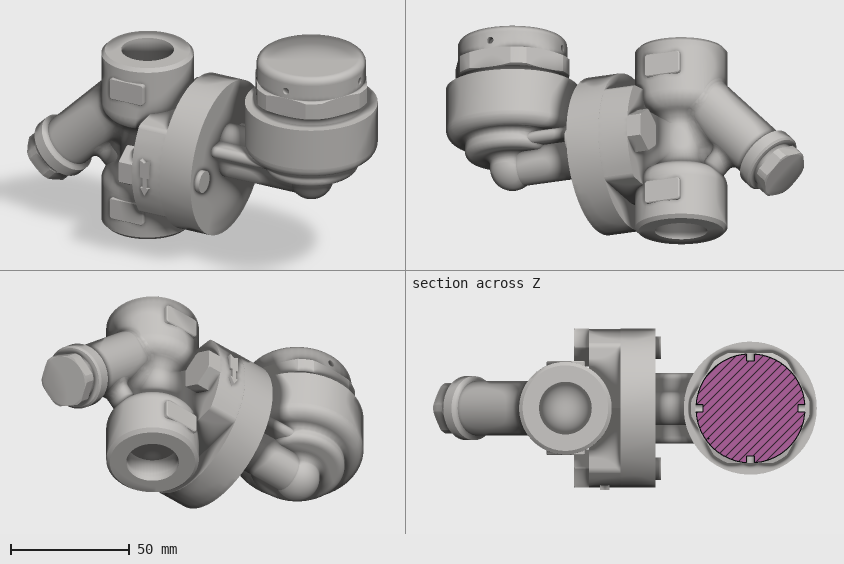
import cadquery as cq
import math


BODY_RADIUS = 19.5
BODY_TOP = 42.0
BODY_BOTTOM = -38.0
BODY_CHAMFER = 1.5
SOCKET_DIAMETER = 22.2
SOCKET_DEPTH = 12.0
SHOULDER_HEIGHT = 18.7
SHOULDER_RADIUS = 7.5
NECK_RADIUS = 11.3
NECK_HALF_HEIGHT = 6.5

PAD_WIDTH = 16.2
PAD_HEIGHT = 9.8
PAD_CORNER_RADIUS = 1.5
PAD_FACE_Y = 19.8
PAD_CENTRE_X = 0.2
PAD_EDGE_CHAMFER = 0.4
PAD_CENTRES_Z = (30.4, -25.5)

HUB_FACE_X = 10.0
HUB_RADIUS = 33.4
FLANGE_START_X = 23.2
FLANGE_END_X = 38.0
FLANGE_RADIUS = 33.5
HUB_ROOF_ANGLE = 5.0
HUB_RIDGE_Z = 22.6
HUB_EDGE_FILLET = 3.0
NECK_HUB_FILLET = 5.0

BOLT_OFFSET_Y = 25.5
BOLT_FLATS = 16.0
BOLT_HEAD_HEIGHT = 6.3
BOLT_CHAMFER = 0.4
BOLT_TIP_DIAMETER = 9.5
BOLT_TIP_LENGTH = 2.3

ARROW_FACE_Y = -34.5
ARROW_CENTRE_X = 16.5
ARROW_TOP_Z = 8.2
ARROW_NOTCH_Z = 7.1
ARROW_SHAFT_Z = 0.2
ARROW_HEAD_Z = -4.5
ARROW_TIP_Z = -8.0
ARROW_HALF_WIDTH = 2.0
ARROW_SHAFT_HALF_WIDTH = 0.8

BRANCH_AXIS_Z = 28.4
BRANCH_RADIUS = 11.5
BRANCH_START = 8.0
COLLAR_CONE_START = 52.6
COLLAR_START = 54.3
COLLAR_END = 60.0
COLLAR_RADIUS = 13.5
COLLAR_CHAMFER = 0.8
PLUG_NECK_RADIUS = 10.5
PLUG_HEX_START = 62.1
PLUG_END = 67.5
PLUG_FLATS = 21.2
PLUG_TURNED_DIAMETER = 23.0
PLUG_CHAMFER_HEIGHT = 0.3
PLUG_CHAMFER_DEPTH = 0.9
BRANCH_BODY_FILLET = 3.4
BLEND_BOTTOM_Z = -9.5
BLEND_TOP_Z = 25.0

LINK_RADIUS = 5.25
LINK_START_X = -20.0
LINK_START_Z = -7.2
LINK_LENGTH = 14.0
LINK_ROOT_DEPTH = 8.0
LINK_ROOT_FILLET = 3.5

GUSSET_THICKNESS = 6.0
GUSSET_INNER_X = -8.0
GUSSET_TOP_Z = 8.0
GUSSET_OVERLAP = 2.0

VENT_X = 77.8
VENT_TOP = 56.5
CAP_RADIUS = 23.05
CAP_BOTTOM = 46.5
CAP_FILLET = 3.0
VENT_HEX_BOTTOM = 38.2
VENT_HEX_FLATS = 46.3
VENT_HEX_TURNED_DIAMETER = 50.0
VENT_HEX_CHAMFER_HEIGHT = 0.6
VENT_HEX_CHAMFER_DEPTH = 1.7
GROOVE_RADIUS = 21.8
BOWL_RADIUS = 28.0
BOWL_TOP = 35.0
BOWL_BOTTOM = 12.0
BOWL_FILLET = 4.9
STEP_RADIUS = 20.0
STEP_BOTTOM = 4.1
STEP_FILLET = 3.1
STEP_COVE = 2.0
ELBOW_RADIUS = 9.5
ELBOW_FILLET = 2.6
VENT_HOLE_DIAMETER = 3.0
VENT_HOLE_Z = 49.9
VENT_HOLE_DEPTH = 3.0

LOWER_PIPE_RADIUS = 8.0
UPPER_PIPE_RADIUS = 7.5
UPPER_PIPE_Z = 8.0
WEB_WIDTH = 29.6
WEB_THICKNESS = 4.9
WEB_Z = 8.2


def x_cylinder(radius, start_x, end_x, y=0.0, z=0.0):
    return cq.Workplane("YZ", origin=(start_x, y, z)).circle(radius).extrude(end_x - start_x)


def turned_hexagon(plane, flats, turned_diameter, height):
    """Hexagonal prism with its corners turned round; two flats face +Y and -Y."""
    hexagon = plane.polygon(6, flats / math.cos(math.pi / 6)).extrude(height)
    turned = plane.circle(turned_diameter / 2).extrude(height)
    return hexagon.intersect(turned)


def neck_cove_radius():
    """Radius of the cove that joins the neck tangentially to the shoulder."""
    rise = SHOULDER_HEIGHT - NECK_HALF_HEIGHT
    inset = BODY_RADIUS - SHOULDER_RADIUS - NECK_RADIUS
    return (inset**2 + rise**2 - SHOULDER_RADIUS**2) / (2 * (inset + SHOULDER_RADIUS))


def make_body():
    """Turned body: two sockets with rounded shoulders and a waisted neck between them."""
    shoulder_r = BODY_RADIUS - SHOULDER_RADIUS
    cove = neck_cove_radius()
    cove_r = NECK_RADIUS + cove
    tangent_angle = math.atan2(SHOULDER_HEIGHT - NECK_HALF_HEIGHT, cove_r - shoulder_r)
    tangent_r = shoulder_r + SHOULDER_RADIUS * math.cos(tangent_angle)
    tangent_z = SHOULDER_HEIGHT - SHOULDER_RADIUS * math.sin(tangent_angle)
    shoulder_mid_r = shoulder_r + SHOULDER_RADIUS * math.cos(tangent_angle / 2)
    shoulder_mid_z = SHOULDER_HEIGHT - SHOULDER_RADIUS * math.sin(tangent_angle / 2)
    cove_mid_r = cove_r - cove * math.cos(tangent_angle / 2)
    cove_mid_z = NECK_HALF_HEIGHT + cove * math.sin(tangent_angle / 2)
    return (
        cq.Workplane("XZ")
        .moveTo(0, BODY_BOTTOM)
        .lineTo(BODY_RADIUS, BODY_BOTTOM)
        .lineTo(BODY_RADIUS, -SHOULDER_HEIGHT)
        .threePointArc((shoulder_mid_r, -shoulder_mid_z), (tangent_r, -tangent_z))
        .threePointArc((cove_mid_r, -cove_mid_z), (NECK_RADIUS, -NECK_HALF_HEIGHT))
        .lineTo(NECK_RADIUS, NECK_HALF_HEIGHT)
        .threePointArc((cove_mid_r, cove_mid_z), (tangent_r, tangent_z))
        .threePointArc((shoulder_mid_r, shoulder_mid_z), (BODY_RADIUS, SHOULDER_HEIGHT))
        .lineTo(BODY_RADIUS, BODY_TOP)
        .lineTo(0, BODY_TOP)
        .close()
        .revolve(360, (0, 0, 0), (0, 1, 0))
        .faces("<Z or >Z")
        .chamfer(BODY_CHAMFER)
    )


def make_hub():
    """Round hub, cut above and below by shallow roofs."""
    depth = FLANGE_START_X - HUB_FACE_X
    slope = math.tan(math.radians(HUB_ROOF_ANGLE))
    ridge_drop = FLANGE_RADIUS * slope
    roof = (
        cq.Workplane("YZ", origin=(HUB_FACE_X, 0, 0))
        .moveTo(0, HUB_RIDGE_Z)
        .lineTo(FLANGE_RADIUS, HUB_RIDGE_Z - ridge_drop)
        .lineTo(FLANGE_RADIUS, ridge_drop - HUB_RIDGE_Z)
        .lineTo(0, -HUB_RIDGE_Z)
        .lineTo(-FLANGE_RADIUS, ridge_drop - HUB_RIDGE_Z)
        .lineTo(-FLANGE_RADIUS, HUB_RIDGE_Z - ridge_drop)
        .close()
        .extrude(depth)
    )
    hub = x_cylinder(HUB_RADIUS, HUB_FACE_X, FLANGE_START_X).intersect(roof)
    for side in (-1, 1):
        for level in (-1, 1):
            low = (HUB_FACE_X, side * HUB_RADIUS / 2, level * HUB_RADIUS / 2)
            high = (FLANGE_START_X, side * HUB_RADIUS, level * HUB_RADIUS)
            corner = cq.selectors.BoxSelector(low, high)
            hub = hub.edges("|X").edges(corner).fillet(HUB_EDGE_FILLET)
    return hub


def make_neck_web():
    """Flat-sided web from the neck to the hub, flaring into the hub face."""
    cove_start_x = HUB_FACE_X - NECK_HUB_FILLET
    flare_y = NECK_RADIUS + NECK_HUB_FILLET
    sagitta = NECK_HUB_FILLET * (1 - math.sqrt(0.5))
    return (
        cq.Workplane("XY", origin=(0, 0, -SHOULDER_HEIGHT))
        .moveTo(0, -NECK_RADIUS)
        .lineTo(cove_start_x, -NECK_RADIUS)
        .threePointArc((HUB_FACE_X - sagitta, -NECK_RADIUS - sagitta), (HUB_FACE_X, -flare_y))
        .lineTo(HUB_FACE_X, flare_y)
        .threePointArc((HUB_FACE_X - sagitta, NECK_RADIUS + sagitta), (cove_start_x, NECK_RADIUS))
        .lineTo(0, NECK_RADIUS)
        .close()
        .extrude(2 * SHOULDER_HEIGHT)
    )


def branch_plane(distance):
    """Plane square to the branch axis, at a distance along it from the body axis."""
    reach = distance * math.sqrt(0.5)
    return cq.Workplane(
        cq.Plane(
            origin=(-reach, 0, BRANCH_AXIS_Z - reach),
            xDir=(-1, 0, 1),
            normal=(-1, 0, -1),
        )
    )


def make_branch_tube():
    return branch_plane(BRANCH_START).circle(BRANCH_RADIUS).extrude(COLLAR_START - BRANCH_START)


def make_branch_end():
    """Collar, plug neck and plug hexagon at the end of the branch."""
    outer_end = cq.selectors.DirectionMinMaxSelector(cq.Vector(-1, 0, -1))
    hex_height = PLUG_END - PLUG_HEX_START
    cone = (
        branch_plane(COLLAR_CONE_START)
        .circle(BRANCH_RADIUS)
        .workplane(offset=COLLAR_START - COLLAR_CONE_START)
        .circle(COLLAR_RADIUS)
        .loft()
    )
    collar = (
        branch_plane(COLLAR_START)
        .circle(COLLAR_RADIUS)
        .extrude(COLLAR_END - COLLAR_START)
        .faces(outer_end)
        .chamfer(COLLAR_CHAMFER)
    )
    plug_neck = branch_plane(COLLAR_END).circle(PLUG_NECK_RADIUS).extrude(PLUG_HEX_START - COLLAR_END)
    hex_plane = branch_plane(PLUG_HEX_START)
    chamfer_disc = (
        hex_plane.circle(PLUG_TURNED_DIAMETER / 2)
        .extrude(hex_height)
        .faces(outer_end)
        .chamfer(PLUG_CHAMFER_HEIGHT, PLUG_CHAMFER_DEPTH)
    )
    plug_hex = turned_hexagon(hex_plane, PLUG_FLATS, PLUG_TURNED_DIAMETER, hex_height)
    plug_hex = plug_hex.intersect(chamfer_disc)
    return cone.union(collar).union(plug_neck).union(plug_hex)


def make_gusset():
    """Plate whose lower edge follows the link axis and whose upper edge lies inside the branch."""
    outer_x = LINK_START_X - GUSSET_OVERLAP
    return (
        cq.Workplane("XZ")
        .moveTo(GUSSET_INNER_X, GUSSET_TOP_Z)
        .lineTo(outer_x, GUSSET_TOP_Z - (GUSSET_INNER_X - outer_x))
        .lineTo(LINK_START_X, LINK_START_Z)
        .lineTo(GUSSET_INNER_X, LINK_START_Z - (GUSSET_INNER_X - LINK_START_X))
        .close()
        .extrude(GUSSET_THICKNESS / 2, both=True)
    )


def blend_branch(part):
    """Round the corners where branch and gusset run into the body."""
    low = (LINK_START_X, -BODY_RADIUS, BLEND_BOTTOM_Z)
    high = (GUSSET_INNER_X, BODY_RADIUS, BLEND_TOP_Z)
    return part.edges(cq.selectors.BoxSelector(low, high)).fillet(BRANCH_BODY_FILLET)


def make_link():
    """Link tube with a rounded root on the branch; the branch tube is included."""
    inward = LINK_ROOT_DEPTH * math.sqrt(0.5)
    plane = cq.Plane(
        origin=(LINK_START_X - inward, 0, LINK_START_Z + inward),
        xDir=(0, 1, 0),
        normal=(1, 0, -1),
    )
    tube = cq.Workplane(plane).circle(LINK_RADIUS).extrude(LINK_ROOT_DEPTH + LINK_LENGTH)
    root = cq.selectors.BoxSelector(
        (LINK_START_X - LINK_RADIUS, -LINK_RADIUS, LINK_START_Z - LINK_RADIUS),
        (LINK_START_X + LINK_RADIUS, LINK_RADIUS, LINK_START_Z + LINK_RADIUS),
    )
    joined = make_branch_tube().union(tube)
    return joined.edges(root).edges("not %LINE").fillet(LINK_ROOT_FILLET)


def make_pad(side, centre_z):
    return (
        cq.Workplane("XZ", origin=(PAD_CENTRE_X, 0, centre_z))
        .rect(PAD_WIDTH, PAD_HEIGHT)
        .extrude(-side * PAD_FACE_Y)
        .edges("|Y")
        .fillet(PAD_CORNER_RADIUS)
        .faces(">Y" if side > 0 else "<Y")
        .chamfer(PAD_EDGE_CHAMFER)
    )


def make_bolt(y):
    """Bolt with its head on the hub face; two head flats face +Y and -Y."""
    head_start_x = HUB_FACE_X - BOLT_HEAD_HEIGHT
    tip_end_x = FLANGE_END_X + BOLT_TIP_LENGTH
    corner_diameter = BOLT_FLATS / math.cos(math.pi / 6)
    head = (
        cq.Workplane("YZ", origin=(head_start_x, y, 0))
        .transformed(rotate=(0, 0, 90))
        .polygon(6, corner_diameter)
        .extrude(BOLT_HEAD_HEIGHT)
    )
    chamfer_disc = x_cylinder(corner_diameter / 2, head_start_x, HUB_FACE_X, y)
    head = head.intersect(chamfer_disc.faces("<X").chamfer(BOLT_CHAMFER))
    return head.union(x_cylinder(BOLT_TIP_DIAMETER / 2, HUB_FACE_X, tip_end_x, y))


def make_arrow():
    return (
        cq.Workplane("XZ", origin=(ARROW_CENTRE_X, 0, 0))
        .moveTo(0, ARROW_NOTCH_Z)
        .lineTo(ARROW_HALF_WIDTH, ARROW_TOP_Z)
        .lineTo(ARROW_HALF_WIDTH, ARROW_SHAFT_Z)
        .lineTo(ARROW_SHAFT_HALF_WIDTH, ARROW_SHAFT_Z)
        .lineTo(ARROW_SHAFT_HALF_WIDTH, ARROW_HEAD_Z)
        .lineTo(ARROW_HALF_WIDTH, ARROW_HEAD_Z)
        .lineTo(0, ARROW_TIP_Z)
        .lineTo(-ARROW_HALF_WIDTH, ARROW_HEAD_Z)
        .lineTo(-ARROW_SHAFT_HALF_WIDTH, ARROW_HEAD_Z)
        .lineTo(-ARROW_SHAFT_HALF_WIDTH, ARROW_SHAFT_Z)
        .lineTo(-ARROW_HALF_WIDTH, ARROW_SHAFT_Z)
        .lineTo(-ARROW_HALF_WIDTH, ARROW_TOP_Z)
        .close()
        .extrude(-ARROW_FACE_Y)
    )


def make_vent():
    """Turned vent with a ball-shaped elbow at its foot, plus its wrench hexagon."""
    corner = math.sqrt(0.5)
    groove_z = (BOWL_TOP + VENT_HEX_BOTTOM) / 2
    hex_radius = VENT_HEX_TURNED_DIAMETER / 2
    turned = (
        cq.Workplane("XZ", origin=(VENT_X, 0, 0))
        .moveTo(0, -ELBOW_RADIUS)
        .threePointArc((ELBOW_RADIUS * corner, -ELBOW_RADIUS * corner), (ELBOW_RADIUS, 0))
        .lineTo(ELBOW_RADIUS, STEP_BOTTOM - ELBOW_FILLET)
        .radiusArc((ELBOW_RADIUS + ELBOW_FILLET, STEP_BOTTOM), ELBOW_FILLET)
        .lineTo(STEP_RADIUS - STEP_FILLET, STEP_BOTTOM)
        .radiusArc((STEP_RADIUS, STEP_BOTTOM + STEP_FILLET), -STEP_FILLET)
        .lineTo(STEP_RADIUS, BOWL_BOTTOM - STEP_COVE)
        .radiusArc((STEP_RADIUS + STEP_COVE, BOWL_BOTTOM), STEP_COVE)
        .lineTo(BOWL_RADIUS - BOWL_FILLET, BOWL_BOTTOM)
        .radiusArc((BOWL_RADIUS, BOWL_BOTTOM + BOWL_FILLET), -BOWL_FILLET)
        .lineTo(BOWL_RADIUS, BOWL_TOP)
        .lineTo(CAP_RADIUS, BOWL_TOP)
        .threePointArc((GROOVE_RADIUS, groove_z), (CAP_RADIUS, VENT_HEX_BOTTOM))
        .lineTo(CAP_RADIUS, VENT_TOP - CAP_FILLET)
        .radiusArc((CAP_RADIUS - CAP_FILLET, VENT_TOP), -CAP_FILLET)
        .lineTo(0, VENT_TOP)
        .close()
        .revolve(360, (0, 0, 0), (0, 1, 0))
    )
    hexagon = turned_hexagon(
        cq.Workplane("XY", origin=(VENT_X, 0, VENT_HEX_BOTTOM)),
        VENT_HEX_FLATS,
        VENT_HEX_TURNED_DIAMETER,
        CAP_BOTTOM - VENT_HEX_BOTTOM,
    )
    chamfer_disc = (
        cq.Workplane("XZ", origin=(VENT_X, 0, 0))
        .moveTo(0, VENT_HEX_BOTTOM)
        .lineTo(hex_radius - VENT_HEX_CHAMFER_DEPTH, VENT_HEX_BOTTOM)
        .lineTo(hex_radius, VENT_HEX_BOTTOM + VENT_HEX_CHAMFER_HEIGHT)
        .lineTo(hex_radius, CAP_BOTTOM - VENT_HEX_CHAMFER_HEIGHT)
        .lineTo(hex_radius - VENT_HEX_CHAMFER_DEPTH, CAP_BOTTOM)
        .lineTo(0, CAP_BOTTOM)
        .close()
        .revolve(360, (0, 0, 0), (0, 1, 0))
    )
    return turned.union(hexagon.intersect(chamfer_disc))


def make_vent_holes():
    hole = (
        cq.Workplane("YZ", origin=(CAP_RADIUS - VENT_HOLE_DEPTH, 0, VENT_HOLE_Z))
        .circle(VENT_HOLE_DIAMETER / 2)
        .extrude(2 * VENT_HOLE_DEPTH)
    )
    holes = hole
    for angle in (90, 180, 270):
        holes = holes.union(hole.rotate((0, 0, 0), (0, 0, 1), angle))
    return holes.translate((VENT_X, 0, 0))


def make_pipes():
    """Lower U-shaped pipe, upper round pipe and the flat web between them."""
    web = (
        cq.Workplane("YZ", origin=(FLANGE_END_X, 0, WEB_Z))
        .slot2D(WEB_WIDTH, WEB_THICKNESS)
        .extrude(VENT_X - FLANGE_END_X)
    )
    upper = x_cylinder(UPPER_PIPE_RADIUS, FLANGE_END_X, VENT_X, z=UPPER_PIPE_Z)
    lower = x_cylinder(LOWER_PIPE_RADIUS, FLANGE_END_X, VENT_X)
    wall = (
        cq.Workplane("YZ", origin=(FLANGE_END_X, 0, WEB_Z / 2))
        .rect(2 * LOWER_PIPE_RADIUS, WEB_Z)
        .extrude(VENT_X - FLANGE_END_X)
    )
    return web.union(upper).union(lower).union(wall)


def make_sockets():
    bore = cq.Workplane("XY").circle(SOCKET_DIAMETER / 2).extrude(SOCKET_DEPTH)
    top = bore.translate((0, 0, BODY_TOP - SOCKET_DEPTH))
    bottom = bore.translate((0, 0, BODY_BOTTOM))
    return top.union(bottom)


part = make_body().union(make_neck_web()).union(make_branch_tube()).union(make_gusset())
part = blend_branch(part)
part = part.union(make_link()).union(make_branch_end())
part = part.union(make_hub())
part = part.union(x_cylinder(FLANGE_RADIUS, FLANGE_START_X, FLANGE_END_X))
for pad_side in (-1, 1):
    for pad_z in PAD_CENTRES_Z:
        part = part.union(make_pad(pad_side, pad_z))
for bolt_y in (-BOLT_OFFSET_Y, BOLT_OFFSET_Y):
    part = part.union(make_bolt(bolt_y))
part = part.union(make_arrow()).union(make_pipes()).union(make_vent())
result = part.cut(make_vent_holes()).cut(make_sockets())